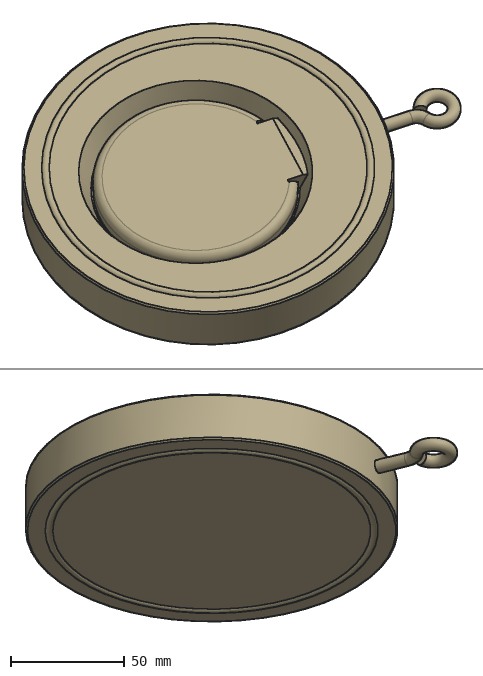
import cadquery as cq
import math

BODY_DIAMETER = 164.0
OVERALL_THICKNESS = 24.8
SEAL_PROTRUSION = 0.9
BODY_EDGE_CHAMFER = 0.8
body_thickness = OVERALL_THICKNESS - 2 * SEAL_PROTRUSION
body_radius = BODY_DIAMETER / 2
face_z = body_thickness / 2

SEAL_WIRE_DIAMETER = 4.0
SEAL_MEAN_RADIUS = 71.7
seal_wire_radius = SEAL_WIRE_DIAMETER / 2
seal_centre_z = face_z + SEAL_PROTRUSION - seal_wire_radius

RECESS_OFFSET_Y = -6.0
RECESS_TOP_DIAMETER = 103.0
RECESS_FLOOR_DIAMETER = 92.2
RECESS_DEPTH = 12.0
recess_floor_z = face_z - RECESS_DEPTH

FLAP_DIAMETER = 90.6
FLAP_EDGE_RADIUS = 4.0
FLAP_TOP_DEPTH = 3.6
flap_radius = FLAP_DIAMETER / 2
flap_flat_radius = flap_radius - FLAP_EDGE_RADIUS
flap_thickness = RECESS_DEPTH - FLAP_TOP_DEPTH

TAB_WIDTH = 34.4
TAB_FLAT_REACH = 44.2
TAB_SLOPE_RUN = 8.0
TAB_SLOPE_ANGLE = 20.0
TAB_NOTCH_WIDTH = 1.3
tab_slope_drop = TAB_SLOPE_RUN * math.tan(math.radians(TAB_SLOPE_ANGLE))

EYE_WIRE_DIAMETER = 6.0
EYE_RING_MEAN_RADIUS = 7.5
EYE_TOP_Y = 120.0
SHANK_EMBEDMENT = 10.0
EYE_BEND_JOIN_ANGLE = 30.0
EYE_FREE_END_ANGLE = 17.0
eye_wire_radius = EYE_WIRE_DIAMETER / 2
eye_centre_y = EYE_TOP_Y - EYE_RING_MEAN_RADIUS - eye_wire_radius
eye_ring_sweep = 360 - EYE_BEND_JOIN_ANGLE - EYE_FREE_END_ANGLE
shank_start_y = body_radius - SHANK_EMBEDMENT


def make_body():
    disc = cq.Workplane(origin=(0, 0, -face_z)).circle(body_radius).extrude(body_thickness)
    return disc.edges().chamfer(BODY_EDGE_CHAMFER)


def make_seal(side):
    """Sealing ring on the upper (side = 1) or lower (side = -1) face."""
    ring = cq.Solid.makeTorus(SEAL_MEAN_RADIUS, seal_wire_radius)
    return cq.Workplane(obj=ring.translate(cq.Vector(0, 0, side * seal_centre_z)))


def make_recess():
    cone = cq.Solid.makeCone(
        RECESS_FLOOR_DIAMETER / 2,
        RECESS_TOP_DIAMETER / 2,
        RECESS_DEPTH,
        pnt=cq.Vector(0, RECESS_OFFSET_Y, recess_floor_z),
    )
    return cq.Workplane(obj=cone)


def make_flap_disc():
    floor = cq.Workplane(origin=(0, RECESS_OFFSET_Y, recess_floor_z))
    disc = floor.circle(flap_radius).extrude(flap_thickness)
    return disc.faces(">Z").edges().fillet(FLAP_EDGE_RADIUS)


def make_tab():
    tab_end = TAB_FLAT_REACH + TAB_SLOPE_RUN
    tab_profile = [
        (0, 0),
        (tab_end, 0),
        (tab_end, flap_thickness - tab_slope_drop),
        (TAB_FLAT_REACH, flap_thickness),
        (0, flap_thickness),
    ]
    side_plane = cq.Workplane("YZ", origin=(0, RECESS_OFFSET_Y, recess_floor_z))
    return side_plane.polyline(tab_profile).close().extrude(TAB_WIDTH / 2, both=True)


def make_tab_notch():
    """Cut in the rounded rim, wider than the tab, that leaves a narrow gap on each side of it."""
    notch_width = TAB_WIDTH + 2 * TAB_NOTCH_WIDTH
    inner_y = RECESS_OFFSET_Y + math.sqrt(flap_flat_radius**2 - (notch_width / 2) ** 2)
    bottom_z = recess_floor_z + flap_thickness - FLAP_EDGE_RADIUS
    notch = cq.Workplane(origin=(0, inner_y, bottom_z))
    return notch.box(notch_width, flap_radius, FLAP_EDGE_RADIUS, centered=(True, False, False))


def make_eye_shank():
    join_angle = math.radians(EYE_BEND_JOIN_ANGLE)
    join_x = EYE_RING_MEAN_RADIUS * math.sin(join_angle)
    join_rise = EYE_RING_MEAN_RADIUS * math.cos(join_angle)
    join_y = eye_centre_y - join_rise
    path = cq.Workplane().moveTo(0, shank_start_y).lineTo(0, join_y - join_rise)
    path = path.tangentArcPoint((join_x, join_y), relative=False)
    section = cq.Workplane("XZ", origin=(0, shank_start_y, 0)).circle(eye_wire_radius)
    return section.sweep(path)


def make_eye_ring():
    section = cq.Workplane("XZ").center(EYE_RING_MEAN_RADIUS, 0).circle(eye_wire_radius)
    ring_axis_x = -EYE_RING_MEAN_RADIUS
    ring = section.revolve(eye_ring_sweep, (ring_axis_x, 0), (ring_axis_x, 1))
    ring = ring.rotate((0, 0, 0), (0, 0, 1), EYE_BEND_JOIN_ANGLE - 90)
    return ring.translate((0, eye_centre_y, 0))


body = make_body().union(make_seal(1)).union(make_seal(-1))
flap = make_flap_disc().cut(make_tab_notch()).union(make_tab())
lifting_eye = make_eye_shank().union(make_eye_ring())
result = body.cut(make_recess()).union(flap).union(lifting_eye)